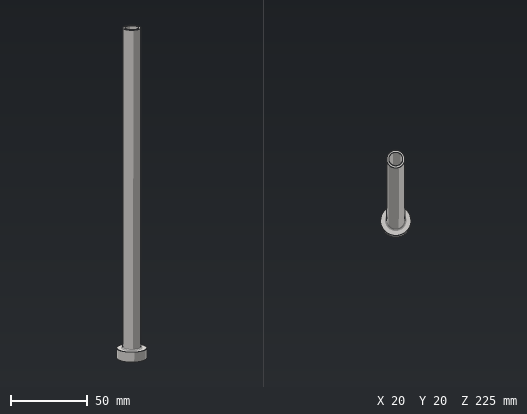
import cadquery as cq

total_length = 225.0
head_diameter = 20.0
head_height = 7.0
tube_diameter = 12.0
bore_diameter = 9.0
neck_fillet = 0.7

head = cq.Workplane("XY").circle(head_diameter / 2).extrude(head_height)
tube = cq.Workplane("XY").circle(tube_diameter / 2).extrude(total_length)
body = head.union(tube)

neck_corner = cq.selectors.BoxSelector(
    (-tube_diameter, -tube_diameter, head_height - neck_fillet),
    (tube_diameter, tube_diameter, head_height + neck_fillet),
)
neck_edges = body.edges(neck_corner).edges(cq.selectors.RadiusNthSelector(0))
body = neck_edges.fillet(neck_fillet)

bore = cq.Workplane("XY").circle(bore_diameter / 2).extrude(total_length)
result = body.cut(bore)